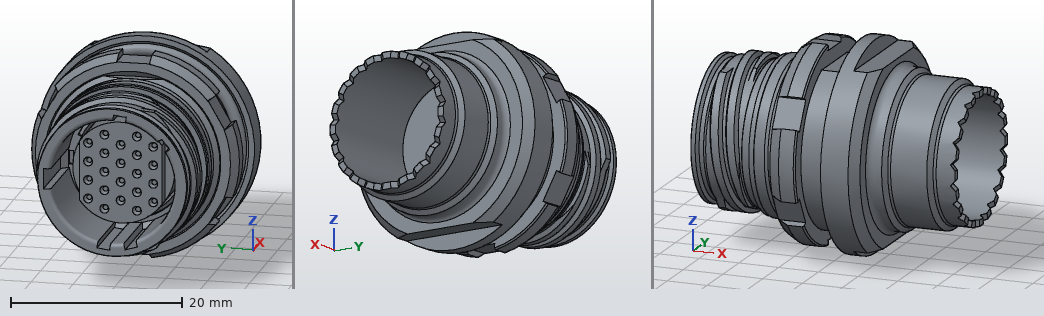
import cadquery as cq
import math

LENGTH = 33.0

COLLAR_R = 8.9
RIM_X = 0.55
NECK_R = 8.5
NECK_X0, NECK_X1 = 0.9, 1.45
RELIEF_R = 8.85
RELIEF_X0, RELIEF_X1 = 6.4, 7.42
BORE_R = 7.45
LIP_R = 0.45
SHELF_X = 9.9

RIB_STARTS = 3
RIB_LEAD = 5.97
RIB_CREST_R = 9.47
RIB_X0, RIB_X1 = 1.88, 6.15
RIB_CREST_WIDTH = 0.95
RIB_ROOT_WIDTH = 1.88
RIB_ROOT_R = 8.65
RIB_BEGIN_X = 2.15
RIB_BEGIN_ANGLE = 19.0
RIB_SPAN_ANGLE = 252.0
RIB_END_SLANT = 10.0

BAND_R = 9.77
BAND_X = 7.6
BAND_LIP_X = 8.25
BAND_LIP_R = 9.6
DIP_X = 10.0
DIP_HALF_WIDTH = 0.4
DIP_R = 9.65
THREAD_R = 10.53
THREAD_FLAT = 9.75
THREAD_X = 10.63

FLANGE_X = 18.0
FLANGE_R = 13.0
FLANGE_BEVEL_X = 21.45
FLANGE_BACK_X = 22.55
FLANGE_BACK_R = 11.98
FLANGE_FLAT = 11.0
FLANGE_FLAT_X = 19.75

GROOVE_R = 11.98
GROOVE_MOUTH_R = 12.3
ORING_X_FRONT = 17.52
ORING_WIRE_R = (GROOVE_R - THREAD_R) / 2
ORING_R = (GROOVE_R + THREAD_R) / 2
ORING_X = ORING_X_FRONT + ORING_WIRE_R
GROOVE_FLOOR_X = ORING_X + ORING_WIRE_R

REAR_BAND_R = 9.7
REAR_BAND_X0, REAR_BAND_X1 = 23.35, 24.35
REAR_COVE_HEIGHT = 0.53
REAR_COVE_MIDDLE = (22.87, 9.87)
BARREL_CONE_X, BARREL_CONE_R = 24.88, 9.1
BARREL_R = 8.98
BARREL_X0, BARREL_X1 = 25.18, 29.73
TAIL_CONE_X, TAIL_CONE_R = 30.3, 8.38
TAIL_R = 8.25
TAIL_X = 30.62
REAR_FLOOR_X = 19.8
TOOTH_COUNT = 20
NOTCH_DEPTH = 0.6
NOTCH_WIDTH = 1.32

INSERT_R = 6.1
INSERT_FACE_X = 4.6
INSERT_FLAT = 4.95
INSERT_STEP_X = 6.25
RIDGE_R = 6.45
INNER_GROOVE_DEPTH = 1.32
OUTER_GROOVE_R = 6.9
OUTER_GROOVE_DEPTH = 0.65
GROOVE_BREAK_ANGLE = 24.0

COLUMN_PITCH = 1.95
ROW_PITCH = 2.25
COLUMN_COUNTS = {-2: 4, -1: 5, 0: 4, 1: 5, 2: 4}
HOLE_MOUTH_R = 0.53
HOLE_FLOOR_R = 0.3
HOLE_DEPTH = 0.65

MAIN_KEY_R = 8.22
MAIN_KEY_WIDTH = 2.45
SMALL_KEY_R = 8.15
SMALL_KEY_WIDTH = 1.52
SMALL_KEY_ANGLES = (6.6, 52.0, 163.5, 187.4)
MAIN_KEY_ANGLE = 270.0
KEY_RAMP_WIDTH = 1.65
KEY_RAMP_R = 6.83
KEY_RAMP_DEPTH = 0.65

NUT_X0, NUT_X1 = 11.1, 14.52
NUT_R = 12.45
NUT_BORE_R = 9.75
NUT_FRONT_R = 11.68
NUT_BEVEL_X = 12.47
NUT_BACK_CHAMFER = 0.2
NUT_SLOTS = 6
NUT_SLOT_WIDTH = 3.93
NUT_SLOT_FLOOR = 11.55


def revolve_x(points):
    """Solid of revolution about X from (x, radius) points."""
    return cq.Workplane("XY").polyline(points).close().revolve(360, (0, 0, 0), (1, 0, 0))


def cylinder_x(x0, x1, radius):
    return cq.Workplane("YZ", origin=(x0, 0, 0)).circle(radius).extrude(x1 - x0)


def box(x0, x1, y0, y1, z0, z1):
    return cq.Workplane("XY").box(x1 - x0, y1 - y0, z1 - z0, centered=False).translate((x0, y0, z0))


def turned(body, angle):
    """Turn a body about X; positive angles run from +Z toward -Y."""
    return body.rotate((0, 0, 0), (1, 0, 0), angle)


def polar(radius, angle):
    """(y, z) of a point at an angle from +Z toward -Y."""
    a = math.radians(angle)
    return -radius * math.sin(a), radius * math.cos(a)


def make_outer_shell():
    profile = (
        cq.Workplane("XY")
        .moveTo(0, 0)
        .lineTo(0, COLLAR_R)
        .lineTo(RIM_X, COLLAR_R)
        .lineTo(NECK_X0, NECK_R)
        .lineTo(NECK_X1, NECK_R)
        .lineTo(RIB_X0, COLLAR_R)
        .lineTo(RELIEF_X0, COLLAR_R)
        .lineTo(RELIEF_X0, RELIEF_R)
        .lineTo(RELIEF_X1, RELIEF_R)
        .lineTo(RELIEF_X1, COLLAR_R)
        .lineTo(BAND_X, COLLAR_R)
        .lineTo(BAND_X, BAND_LIP_R)
        .lineTo(BAND_LIP_X, BAND_LIP_R)
        .lineTo(BAND_LIP_X, BAND_R)
        .lineTo(DIP_X - DIP_HALF_WIDTH, BAND_R)
        .lineTo(DIP_X, DIP_R)
        .lineTo(DIP_X + DIP_HALF_WIDTH, BAND_R)
        .lineTo(THREAD_X, BAND_R)
        .lineTo(THREAD_X + THREAD_R - BAND_R, THREAD_R)
        .lineTo(GROOVE_FLOOR_X, THREAD_R)
        .lineTo(GROOVE_FLOOR_X, GROOVE_R)
        .lineTo(FLANGE_X + GROOVE_MOUTH_R - GROOVE_R, GROOVE_R)
        .lineTo(FLANGE_X, GROOVE_MOUTH_R)
        .lineTo(FLANGE_X, FLANGE_R)
        .lineTo(FLANGE_BEVEL_X, FLANGE_R)
        .lineTo(FLANGE_BACK_X, FLANGE_BACK_R)
        .lineTo(FLANGE_BACK_X, REAR_BAND_R + REAR_COVE_HEIGHT)
        .threePointArc(REAR_COVE_MIDDLE, (REAR_BAND_X0, REAR_BAND_R))
        .lineTo(REAR_BAND_X1, REAR_BAND_R)
        .lineTo(BARREL_CONE_X, BARREL_CONE_R)
        .lineTo(BARREL_X0, BARREL_R)
        .lineTo(BARREL_X1, BARREL_R)
        .lineTo(TAIL_CONE_X, TAIL_CONE_R)
        .lineTo(TAIL_X, TAIL_R)
        .lineTo(LENGTH, TAIL_R)
        .lineTo(LENGTH, 0)
        .close()
    )
    return profile.revolve(360, (0, 0, 0), (1, 0, 0))


def cut_flats(shell):
    """Two flats on the panel thread and two on the back of the flange."""
    for angle in (0, 180):
        thread_flat = box(THREAD_X, FLANGE_X, -FLANGE_R, FLANGE_R, THREAD_FLAT, FLANGE_R)
        flange_flat = box(FLANGE_FLAT_X, FLANGE_BACK_X, -FLANGE_R, FLANGE_R, FLANGE_FLAT, FLANGE_R)
        shell = shell.cut(turned(thread_flat, angle)).cut(turned(flange_flat, angle))
    return shell


def make_rib():
    """One helical rib of trapezoid section that begins at +Z, with slanted end faces."""
    crest_half = RIB_CREST_WIDTH / 2
    root_half = RIB_ROOT_WIDTH / 2
    helix = cq.Wire.makeHelix(RIB_LEAD, RIB_LEAD * RIB_SPAN_ANGLE / 360, RIB_ROOT_R)
    rib = (
        cq.Workplane("XZ")
        .polyline([
            (RIB_ROOT_R, -root_half),
            (RIB_CREST_R, -crest_half),
            (RIB_CREST_R, crest_half),
            (RIB_ROOT_R, root_half),
        ])
        .close()
        .sweep(cq.Workplane(obj=helix), isFrenet=True)
    )
    rib = turned(rib.rotate((0, 0, 0), (0, 1, 0), 90), 180).translate((RIB_BEGIN_X, 0, 0))
    rib = rib.intersect(cylinder_x(RIB_X0, RIB_X1, RIB_CREST_R + 0.33))
    rib = rib.cut(make_rib_end_cut(0, RIB_END_SLANT))
    return rib.cut(make_rib_end_cut(RIB_SPAN_ANGLE, RIB_SPAN_ANGLE - RIB_END_SLANT))


def make_rib_end_cut(foot_angle, crest_angle):
    """Wedge that slants a rib end from its foot on the collar back to its crest."""
    outside_r = RIB_CREST_R + 0.65
    outside_angle = 2 * foot_angle - crest_angle
    return (
        cq.Workplane("YZ", origin=(RIB_X0, 0, 0))
        .polyline([
            polar(COLLAR_R, foot_angle),
            polar(RIB_CREST_R, crest_angle),
            polar(outside_r, crest_angle),
            polar(outside_r, outside_angle),
        ])
        .close()
        .extrude(RIB_X1 - RIB_X0)
    )


def add_ribs(shell):
    rib = make_rib()
    for i in range(RIB_STARTS):
        shell = shell.union(turned(rib, RIB_BEGIN_ANGLE + i * 360 / RIB_STARTS))
    return shell


def make_keyway(radius, width):
    """Keyway on +Z that runs out in a 45 degree ramp at the bore floor."""
    ramp = radius - BORE_R
    return (
        cq.Workplane("XZ")
        .polyline([(0, 0), (0, radius), (SHELF_X - ramp, radius), (SHELF_X, BORE_R), (SHELF_X, 0)])
        .close()
        .extrude(width / 2, both=True)
    )


def make_bore():
    """Mating bore with rounded mouth and keyways."""
    bore = (
        cq.Workplane("XY")
        .moveTo(0, 0)
        .lineTo(0, BORE_R + LIP_R)
        .radiusArc((LIP_R, BORE_R), -LIP_R)
        .lineTo(SHELF_X, BORE_R)
        .lineTo(SHELF_X, 0)
        .close()
        .revolve(360, (0, 0, 0), (1, 0, 0))
    )
    bore = bore.union(turned(make_keyway(MAIN_KEY_R, MAIN_KEY_WIDTH), MAIN_KEY_ANGLE))
    for angle in SMALL_KEY_ANGLES:
        bore = bore.union(turned(make_keyway(SMALL_KEY_R, SMALL_KEY_WIDTH), angle))
    return bore


def make_insert_grooves():
    """Ridge around the insert: an inner groove all round, an outer one broken at the main keyway."""
    inner = revolve_x([
        (SHELF_X, INSERT_R),
        (SHELF_X, RIDGE_R),
        (SHELF_X + INNER_GROOVE_DEPTH, INSERT_R),
    ])
    outer = revolve_x([
        (SHELF_X, RIDGE_R),
        (SHELF_X, OUTER_GROOVE_R),
        (SHELF_X + OUTER_GROOVE_DEPTH, OUTER_GROOVE_R),
    ])
    far_y = 2 * OUTER_GROOVE_R
    far_z = far_y * math.tan(math.radians(GROOVE_BREAK_ANGLE))
    key_sector = (
        cq.Workplane("YZ", origin=(SHELF_X, 0, 0))
        .polyline([(0, 0), (far_y, -far_z), (far_y, far_z)])
        .close()
        .extrude(OUTER_GROOVE_DEPTH)
    )
    return inner, outer.cut(key_sector)


def make_key_ramp():
    """Notch in the bore floor at the main keyway, sloping deeper outward."""
    return (
        cq.Workplane("XY")
        .polyline([(SHELF_X, KEY_RAMP_R), (SHELF_X, BORE_R), (SHELF_X + KEY_RAMP_DEPTH, BORE_R)])
        .close()
        .extrude(KEY_RAMP_WIDTH / 2, both=True)
    )


def make_insert_post():
    """Round post carrying the contact face, stepped back on both sides."""
    post = cylinder_x(INSERT_FACE_X, SHELF_X, INSERT_R)
    for angle in (90, 270):
        step = box(INSERT_FACE_X, INSERT_STEP_X, -INSERT_R, INSERT_R, INSERT_FLAT, INSERT_R + 0.33)
        post = post.cut(turned(step, angle))
    return post


def make_contact_holes():
    hole = revolve_x([(0, 0), (0, HOLE_MOUTH_R), (HOLE_DEPTH, HOLE_FLOOR_R), (HOLE_DEPTH, 0)])
    places = []
    for column, count in COLUMN_COUNTS.items():
        for row in range(count):
            z = (row - (count - 1) / 2) * ROW_PITCH
            places.append(cq.Vector(INSERT_FACE_X, column * COLUMN_PITCH, z))
    return cq.Compound.makeCompound([hole.val().moved(cq.Location(place)) for place in places])


def cut_crown(shell):
    """Open the rear end and cut V notches into its rim."""
    shell = shell.cut(cylinder_x(REAR_FLOOR_X, LENGTH, BORE_R))
    half = NOTCH_WIDTH / 2
    notch = (
        cq.Workplane("XY")
        .polyline([(LENGTH - NOTCH_DEPTH, 0), (LENGTH, -half), (LENGTH, half)])
        .close()
        .extrude(TAIL_R + 0.33)
    )
    for i in range(TOOTH_COUNT):
        shell = shell.cut(turned(notch, (i + 0.5) * 360 / TOOTH_COUNT))
    return shell


def make_connector():
    connector = add_ribs(cut_flats(make_outer_shell()))
    connector = connector.cut(make_bore()).cut(make_key_ramp())
    for groove in make_insert_grooves():
        connector = connector.cut(groove)
    connector = connector.union(make_insert_post())
    connector = connector.cut(cq.Workplane(obj=make_contact_holes()))
    return cut_crown(connector)


def make_nut(connector):
    """Panel nut with a bevelled front and spanner slots, its bore matching the flatted thread."""
    nut = revolve_x([
        (NUT_X0 + THREAD_R - NUT_BORE_R, NUT_BORE_R),
        (NUT_X0, THREAD_R),
        (NUT_X0, NUT_FRONT_R),
        (NUT_BEVEL_X, NUT_R),
        (NUT_X1 - NUT_BACK_CHAMFER, NUT_R),
        (NUT_X1, NUT_R - NUT_BACK_CHAMFER),
        (NUT_X1, NUT_BORE_R),
    ])
    half = NUT_SLOT_WIDTH / 2
    slot = box(NUT_X0, NUT_X1, -half, half, NUT_SLOT_FLOOR, NUT_R + 0.33)
    for i in range(NUT_SLOTS):
        nut = nut.cut(turned(slot, i * 360 / NUT_SLOTS))
    return nut.cut(connector)


def make_oring():
    return (
        cq.Workplane("XY")
        .center(ORING_X, ORING_R)
        .circle(ORING_WIRE_R)
        .revolve(360, (0, -ORING_R, 0), (1, -ORING_R, 0))
    )


connector = make_connector()
nut = make_nut(connector)
oring = make_oring()

bodies = [body.solids().val() for body in (connector, nut, oring)]
result = cq.Compound.makeCompound(bodies)